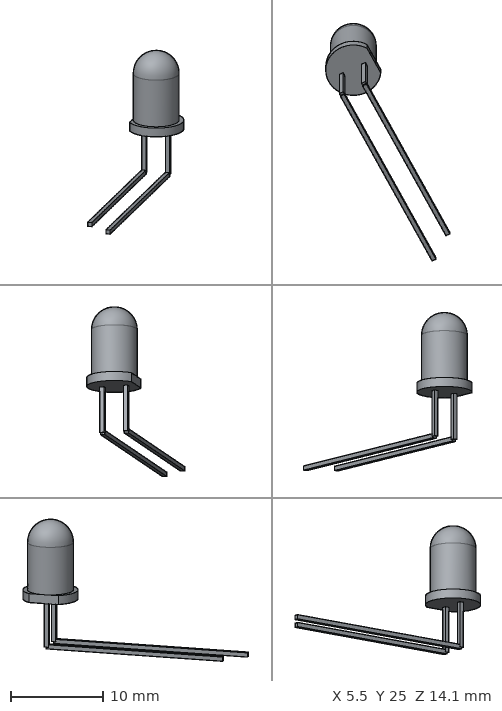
import cadquery as cq

lens_radius = 2.5
lens_height = 8.8
flange_radius = 3.0
flange_thickness = 1.0
dome_base = lens_height - lens_radius

wire_size = 0.48
lead_pitch = 2.7
post_length = 5.05
tail_bottom = -5.25
short_tail_length = 20.0
long_tail_length = 22.0

leads = [
    (-lead_pitch / 2, short_tail_length),
    (lead_pitch / 2, long_tail_length),
]


def make_lens():
    """Domed barrel on a flange whose -X side is cut flat, tangent to the barrel."""
    profile = (
        cq.Workplane("XZ")
        .lineTo(flange_radius, 0)
        .lineTo(flange_radius, flange_thickness)
        .lineTo(lens_radius, flange_thickness)
        .lineTo(lens_radius, dome_base)
        .radiusArc((0, lens_height), -lens_radius)
        .close()
    )
    body = profile.revolve(360, (0, 0), (0, 1))
    flat_depth = flange_radius - lens_radius
    flat_cutter = (
        cq.Workplane("XY")
        .box(flat_depth, 2 * flange_radius, flange_thickness, centered=(False, True, False))
        .translate((-flange_radius, 0, 0))
    )
    return body.cut(flat_cutter)


def make_post(x):
    """Vertical wire hanging from the flange underside."""
    return (
        cq.Workplane("XY")
        .box(wire_size, wire_size, post_length, centered=(True, True, False))
        .translate((x, 0, -post_length))
    )


def make_tail(x, length, post):
    """Horizontal wire crossing the lower end of the post, notched to fit around the post."""
    bar = (
        cq.Workplane("XY")
        .box(wire_size, length, wire_size, centered=(True, True, False))
        .translate((x, -length / 2, tail_bottom))
    )
    return bar.cut(post)


lens = make_lens()
bodies = [*lens.solids().vals()]
for lead_x, tail_length in leads:
    lead_post = make_post(lead_x)
    lead_tail = make_tail(lead_x, tail_length, lead_post)
    bodies.append(lead_post.val())
    bodies.extend(lead_tail.solids().vals())

result = cq.Compound.makeCompound(bodies)